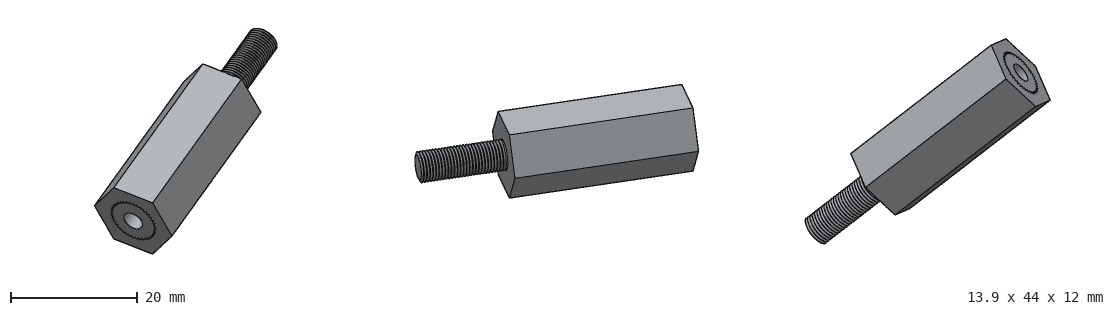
import cadquery as cq
import math

total_length = 44.0
stud_reach = 14.0
housing_length = total_length - stud_reach
front_y = -total_length / 2
back_y = total_length / 2
shoulder_y = front_y + housing_length

across_flats = 12.0
across_corners = across_flats / math.cos(math.radians(30))

insert_length = 10.0
insert_core_diameter = 7.0
bore_diameter = 3.3
knurl_tip_diameter = 8.0
knurl_valley_diameter = 7.4
knurl_teeth = 40

thread_diameter = 5.0
thread_root_diameter = 4.0
thread_count = 28
thread_pitch = stud_reach / thread_count
shank_depth = insert_length


def front_plane():
    """Workplane on the front face; a negative extrusion runs into the housing."""
    return cq.Workplane("XZ", origin=(0, front_y, 0))


def point_at(radius, angle):
    """Point at a radius and angle around the Y axis, as (x, z)."""
    return (radius * math.cos(angle), radius * math.sin(angle))


def make_insert_blank():
    """Insert without its bore: a star-shaped knurl with pointed teeth around a round core."""
    outline = []
    for tooth in range(knurl_teeth):
        tip_angle = 2 * math.pi * tooth / knurl_teeth
        valley_angle = tip_angle + math.pi / knurl_teeth
        outline.append(point_at(knurl_tip_diameter / 2, tip_angle))
        outline.append(point_at(knurl_valley_diameter / 2, valley_angle))
    knurl = front_plane().polyline(outline).close().extrude(-insert_length)
    core = front_plane().circle(insert_core_diameter / 2).extrude(-insert_length)
    return knurl.union(core, clean=False)


def make_insert(blank):
    """Knurled insert with a round bore along its whole length."""
    bore = front_plane().circle(bore_diameter / 2).extrude(-insert_length)
    return blank.cut(bore, clean=False)


def make_stud():
    """Stud with ring-shaped V threads and a plain shank."""
    crest = thread_diameter / 2
    root = thread_root_diameter / 2
    shank_end_y = shoulder_y - shank_depth
    profile = [(0, back_y)]
    for ring in range(thread_count):
        ring_start_y = back_y - ring * thread_pitch
        profile.append((root, ring_start_y))
        profile.append((crest, ring_start_y - thread_pitch / 2))
    profile += [(crest, shank_end_y), (0, shank_end_y)]
    return cq.Workplane("XY").polyline(profile).close().revolve(360, (0, 0, 0), (0, 1, 0))


def make_housing(insert_blank, stud):
    """Hexagonal bar with recesses that match the insert and the shank."""
    bar = front_plane().polygon(6, across_corners).extrude(-housing_length)
    return bar.cut(insert_blank).cut(stud)


insert_blank = make_insert_blank()
insert = make_insert(insert_blank)
stud = make_stud()
housing = make_housing(insert_blank, stud)

result = cq.Compound.makeCompound([*housing.solids().vals(), *insert.solids().vals(), stud.val()])